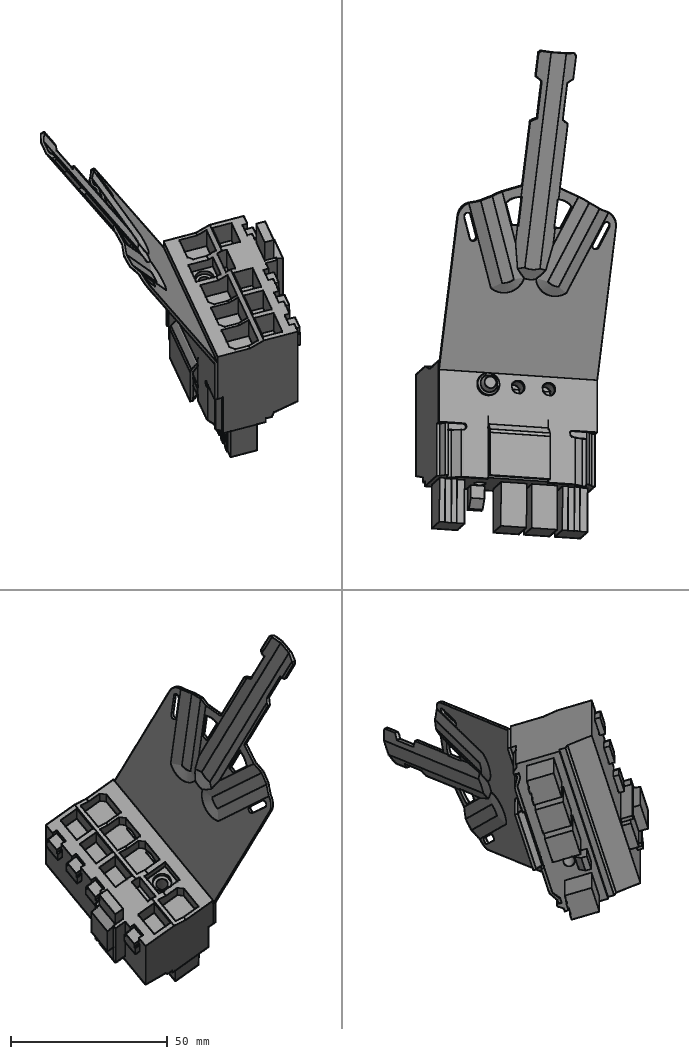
import cadquery as cq
import math

width = 52.28
pitch = 10.16
pole_columns = [-2 * pitch, 0, pitch, 2 * pitch]
outer_poles = [-2 * pitch, 2 * pitch]
latch_column = -pitch

housing_rear = 27.1
housing_top = 39.4
front_top = 37.3
pocket_floor = 31.0
post_width = 8.45
post_front = 4.2
post_bottom = -14.35

sheet = 1.0
plate_bottom = -0.5
bend_z = 34.2
lean = math.radians(26.7)
hole_z = 30.2
hole_radius = 2.1
hole_depth = 5.4

recess_top = 17.1
recess_depth = 1.8
fold_start = 18.8
fold_end = 21.4
fold_edge = 17.8
flange_edge = 22.9
flange_top = 15.0

clip_width = 19.9
slit_top = 19.9
slit_width = 0.05

rib_height = 1.3
rib_ramp = 3.6
rib_far_end = 130.0
base_rounding = 3.2
crest_rounding = 0.4
hollow_base_setback = 0.9
hollow_crest_setback = 0.35
side_rib_angle = 21.4
side_rib_apex = 11.4

latch_width = 8.4
latch_rear = 30.2
latch_bottom = 6.2
cheek_width = 10.7

button_rear = 28.95
button_inner = 25.4
button_bottom = 29.3
button_step = 34.6
button_top = 37.0
button_wide = 5.8
button_narrow = 4.6


def box(x0, x1, y0, y1, z0, z1):
    """Axis-aligned block between two corners."""
    return cq.Workplane("XY").box(x1 - x0, y1 - y0, z1 - z0, centered=False).translate((x0, y0, z0))


def column_box(x, wide, y0, y1, z0, z1):
    """Block centred on a column of the connector."""
    return box(x - wide / 2, x + wide / 2, y0, y1, z0, z1)


def side_prism(outline, x, wide):
    """Prism along X from a (y, z) outline, centred on x."""
    return cq.Workplane("YZ").polyline(outline).close().extrude(wide / 2, both=True).translate((x, 0, 0))


def upright_prism(outline, z0, z1):
    """Prism along Z from an (x, y) outline."""
    return cq.Workplane("XY").polyline(outline).close().extrude(z1 - z0).translate((0, 0, z0))


def front_cylinder(x, z, radius, y0, y1):
    """Cylinder along Y between two depths."""
    return cq.Workplane("XZ", origin=(x, y0, z)).circle(radius).extrude(y0 - y1)


def both_sides(solid):
    """A solid together with its mirror image across X = 0."""
    return solid.union(solid.mirror("YZ"))


def housing_block():
    """Main block: sloped top step, sloped and stepped underside."""
    foot_rear = 16.3
    outline = [
        (0, 0), (foot_rear, 0), (foot_rear, 1.7), (18.3, 1.7), (19.0, 3.6), (housing_rear, 6.0),
        (housing_rear, housing_top), (15.6, housing_top), (10.9, front_top), (0, front_top),
    ]
    return side_prism(outline, 0, width)


def pole_pockets(x):
    """Rear opening and front wire funnel of one pole; the funnel has one bevelled corner."""
    rear_width = 8.5
    rear_front = 15.9
    rear_back = 22.4
    half = 4.6
    front = 4.9
    back = 14.1
    bevel = 1.5
    rear = column_box(x, rear_width, rear_front, rear_back, pocket_floor, housing_top)
    outline = [
        (x - half, front), (x + half - bevel, front), (x + half, front + bevel),
        (x + half, back), (x - half, back),
    ]
    return rear.union(upright_prism(outline, pocket_floor, housing_top))


def latch_column_pockets():
    """Tool slot and square well with a counterbored through hole."""
    slot_front = 14.0
    slot_rear = 17.2
    well_width = 7.6
    well_front = 4.1
    well_rear = 12.4
    well_floor = 33.5
    bore_radius = 3.0
    bore_depth = 1.5
    through_radius = 1.85
    bore_y = (well_front + well_rear) / 2
    slot = column_box(latch_column, latch_width, slot_front, slot_rear, pocket_floor, housing_top)
    well = column_box(latch_column, well_width, well_front, well_rear, well_floor, housing_top)
    floor = cq.Workplane("XY", origin=(latch_column, bore_y, well_floor))
    bore = floor.circle(bore_radius).extrude(-bore_depth)
    through = floor.circle(through_radius).extrude(-well_floor)
    return slot.union(well).union(bore).union(through)


def plug_post(x):
    """Contact post that hangs below one pole, its front slightly tapered."""
    rear = 13.9
    taper = 0.4
    overlap = 1.0
    outline = [
        (post_front, overlap), (post_front, 0), (post_front + taper, post_bottom),
        (rear, post_bottom), (rear, overlap),
    ]
    return side_prism(outline, x, post_width)


def keying_cuts(x):
    """Keying groove and set-back corner down the front of an outer post."""
    key_rear = post_front + 0.7
    groove_left = x - 2.35
    groove_right = x - 0.25
    corner_left = x + 1.55
    groove = box(groove_left, groove_right, post_front, key_rear, post_bottom, 0)
    corner = box(corner_left, x + post_width / 2, post_front, key_rear, post_bottom, 0)
    return groove.union(corner)


def latch_hook():
    """Bevelled hook under the latch column."""
    hook_width = 4.5
    front = 10.8
    rear = 14.9
    bottom = -7.2
    overlap = 1.0
    outline = [(front, overlap), (front, -4.2), (13.0, bottom), (rear, bottom), (rear, overlap)]
    return side_prism(outline, latch_column, hook_width)


def corner_recess():
    """Recess for the plate's right flange, with a tooth left standing at its outer end."""
    fold_outline = [(fold_start, 0), (fold_end, recess_depth), (flange_edge, recess_depth), (flange_edge, 0)]
    fold = upright_prism(fold_outline, 0, flange_top)
    corner = box(flange_edge, width / 2, 0, recess_depth, 0, recess_top)
    tooth_front = 0.1
    tooth_outline = [
        (25.1, recess_depth), (23.8, tooth_front), (flange_edge, tooth_front), (flange_edge, recess_depth),
    ]
    return fold.union(corner).cut(upright_prism(tooth_outline, 0, recess_top))


def latch_cheeks():
    """Rear block that guides the latch between two cheeks."""
    cheek_rear = 31.0
    cheek_bottom = 9.6
    block = column_box(latch_column, cheek_width, housing_rear, cheek_rear, cheek_bottom, housing_top)
    channel = column_box(latch_column, latch_width, housing_rear, cheek_rear, cheek_bottom, housing_top)
    return block.cut(channel)


def button_notch(x):
    """Notch in the rear rim that a release button enters."""
    return column_box(x, button_narrow, button_inner, housing_rear, button_bottom, housing_top)


def make_housing():
    housing = housing_block().union(latch_cheeks()).union(latch_hook())
    for x in pole_columns:
        housing = housing.union(plug_post(x)).cut(pole_pockets(x)).cut(button_notch(x))
    for x in outer_poles:
        housing = housing.cut(keying_cuts(x))
    for x in (latch_column, 0, pitch):
        housing = housing.cut(front_cylinder(x, hole_z, hole_radius, 0, hole_depth))
    return housing.cut(latch_column_pockets()).cut(both_sides(corner_recess()))


def rib_outline(half, start, rounding, level):
    """Outline of a rib along +Y at one level, closed at its start by an arc."""
    return (
        cq.Workplane("XY", origin=(0, 0, level)).moveTo(half, rib_far_end).lineTo(-half, rib_far_end)
        .lineTo(-half, start + rounding).threePointArc((0, start), (half, start + rounding)).close().val()
    )


def rib(half_base, half_crest, start):
    """Raised rib along +Y with bevelled flanks and a rounded, ramped end, on the plane Z = 0."""
    base = rib_outline(half_base, start, base_rounding, 0)
    crest = rib_outline(half_crest, start + rib_ramp, crest_rounding, rib_height)
    return cq.Workplane(cq.Solid.makeLoft([base, crest], True))


def panel_ribs(base_setback, crest_setback):
    """Central rib, made narrower by the setbacks, and the two ribs that fan out from it."""
    apex = (0, side_rib_apex, 0)
    side_rib = rib(5.7, 2.0, 16.5).translate(apex)
    side_rib = side_rib.rotate(apex, (0, side_rib_apex, 1), -side_rib_angle)
    return rib(6.2 - base_setback, 2.5 - crest_setback, 31.2).union(both_sides(side_rib))


def panel_outline():
    """Outline of the flat panel, mirrored: shoulders with rounded corners, arm with a neck and a head."""
    tip = 105.7
    tip_radius = 0.7
    arm = 6.2
    neck = 4.2
    half = (
        cq.Workplane("XY").moveTo(0, 0).lineTo(width / 2, 0).lineTo(width / 2, 49.8)
        .threePointArc((25.2, 53.0), (22.8, 54.8))
        .lineTo(20.7, 55.5).lineTo(14.6, 58.4).lineTo(arm, 61.5)
        .lineTo(arm, 82.6).lineTo(neck, 83.9).lineTo(neck, 96.0).lineTo(arm, 97.3)
        .lineTo(arm, tip - tip_radius).lineTo(arm - tip_radius, tip).lineTo(0, tip).close()
    )
    return both_sides(half.extrude(rib_height + sheet).translate((0, 0, -sheet)))


def panel_windows():
    """Window beside the arm and slanted slot near the edge, on both sides."""
    depth = rib_height + sheet
    window = (
        cq.Workplane("XY").moveTo(5.9, 48.5).lineTo(8.1, 48.5).lineTo(10.9, 55.6)
        .threePointArc((8.8, 57.2), (5.9, 57.8)).close().extrude(depth)
    )
    slot_length = 9.6
    slot_width = 2.2
    slot = (
        cq.Workplane("XY").slot2D(slot_length, slot_width).extrude(depth)
        .rotate((0, 0, 0), (0, 0, 1), 90 - side_rib_angle).translate((21.6, 47.0, 0))
    )
    return both_sides(window.union(slot)).translate((0, 0, -sheet))


def leaning_panel():
    """Embossed panel: the ribs stand out in front and are hollow behind."""
    slab = box(-width / 2, width / 2, 0, rib_far_end, -sheet, 0)
    hollows = panel_ribs(hollow_base_setback, hollow_crest_setback).translate((0, 0, -sheet))
    embossed = slab.union(panel_ribs(0, 0)).cut(hollows)
    flat = embossed.intersect(panel_outline()).cut(panel_windows())
    facing = (0, -math.cos(lean), -math.sin(lean))
    bend = cq.Plane(origin=(0, -sheet, bend_z), xDir=(1, 0, 0), normal=facing)
    return cq.Workplane(flat.val().moved(cq.Location(bend)))


def vertical_sheet():
    """Upright part of the plate up to the bend."""
    outline = [
        (0, plate_bottom), (-sheet, plate_bottom), (-sheet, bend_z),
        (sheet * (math.cos(lean) - 1), bend_z + sheet * math.sin(lean)),
        (0, bend_z + sheet * math.tan(lean / 2)),
    ]
    return side_prism(outline, 0, width)


def flange_relief():
    """Space beside the right flange: a round-ended slot above it and a cut down the edge."""
    slot_half = 1.0
    slot_z = recess_top - slot_half
    slot_end = 17.1
    edge = box(fold_edge, width / 2, -sheet, 0, plate_bottom, recess_top)
    slot = box(slot_end + slot_half, width / 2, -sheet, 0, slot_z - slot_half, recess_top)
    return edge.union(slot).union(front_cylinder(slot_end + slot_half, slot_z, slot_half, -sheet, 0))


def side_flange():
    """Right flange of the plate, folded back into the housing recess."""
    outline = [
        (fold_edge, -sheet), (fold_edge + 0.2, -sheet), (fold_start, -0.85),
        (fold_end + 0.3, recess_depth - sheet),
        (flange_edge, recess_depth - sheet), (flange_edge, recess_depth),
        (fold_end, recess_depth), (fold_start, 0), (fold_edge, 0),
    ]
    return upright_prism(outline, plate_bottom, flange_top)


def clip_opening():
    """Opening behind the clip and the two slits above its bend."""
    half = clip_width / 2
    opening_top = 16.9
    opening = column_box(0, clip_width, -sheet, 0, plate_bottom, opening_top)
    slit = box(half - slit_width, half, -sheet, 0, plate_bottom, slit_top)
    return opening.union(both_sides(slit))


def spring_clip():
    """Clip that steps forward, runs down and ends in a thin turned-back lip."""
    clip_back = -2.6
    clip_front = clip_back - sheet
    blade = [
        (0, 17.4), (-sheet, 17.4), (-1.5, 17.1), (-3.2, 15.2), (clip_front, 14.0), (clip_front, 0),
        (clip_back, 0), (clip_back, 13.7), (-1.2, 15.9), (-0.7, 16.4), (0, 16.4),
    ]
    lip = [(clip_back, 0.3), (-0.7, 2.3), (-0.7, 5.9), (-1.3, 5.9), (-1.3, 2.6), (clip_back, 0.9)]
    clip_inner_width = clip_width - 2 * slit_width
    return side_prism(blade, 0, clip_inner_width).union(side_prism(lip, 0, clip_inner_width))


def make_plate():
    plate = vertical_sheet().cut(both_sides(flange_relief())).cut(clip_opening())
    plate = plate.union(both_sides(side_flange())).union(spring_clip()).union(leaning_panel())
    for x in (latch_column, 0, pitch):
        plate = plate.cut(front_cylinder(x, hole_z, hole_radius, -sheet, 0))
    return plate


def make_screw():
    """Screw with a flat collar and a domed head, in the hole of the latch column."""
    collar_front = 2.8
    head_front = 4.5
    collar_radius = 3.6
    shank_end = 3.5
    profile = [
        (0, -shank_end), (hole_radius, -shank_end), (hole_radius, sheet), (3.2, sheet), (collar_radius, 1.5),
        (collar_radius, collar_front - 0.4), (2.8, collar_front), (1.9, head_front), (0, head_front),
    ]
    screw = cq.Workplane("XY").polyline(profile).close().revolve(360, (0, 0, 0), (0, 1, 0))
    return screw.rotate((0, 0, 0), (0, 0, 1), 180).translate((latch_column, 0, hole_z))


def make_latch():
    """Sliding latch: a tall tongue with a bevelled grip on its back."""
    latch_top = 48.1
    grip_rear = 33.35
    grip = [(latch_rear, 20.8), (grip_rear, 20.8), (grip_rear, 38.0), (latch_rear, housing_top)]
    tongue = column_box(latch_column, latch_width, housing_rear, latch_rear, latch_bottom, latch_top)
    return tongue.union(side_prism(grip, latch_column, latch_width))


def make_button(x):
    """Button in the rear rim: a wide foot with a narrower block that reaches into the notch."""
    foot = column_box(x, button_wide, housing_rear, button_rear, button_bottom, button_step)
    block = column_box(x, button_narrow, button_inner, button_rear, button_bottom, button_top)
    return foot.union(block)


housing = make_housing()
plate = make_plate()
screw = make_screw()
latch = make_latch()
buttons = [make_button(x) for x in pole_columns]

result = cq.Compound.makeCompound(
    [housing.val(), plate.val(), screw.val(), latch.val(), *[button.val() for button in buttons]]
)